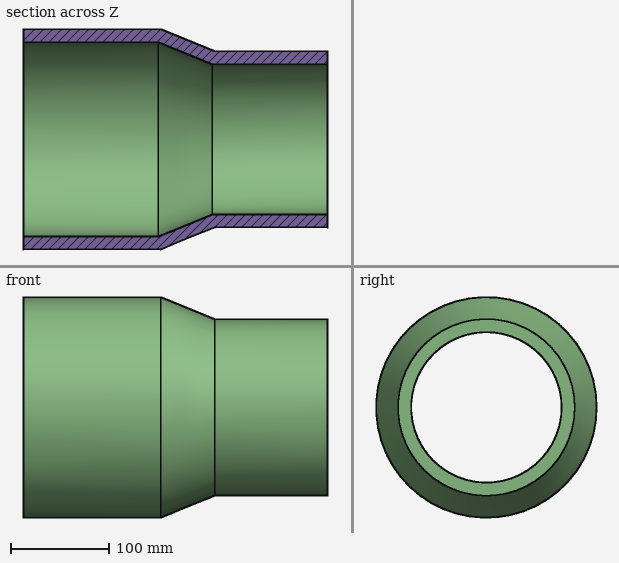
import math

import cadquery as cq

total_length = 310.0
large_length = 140.0
small_length = 115.0
large_outer_diameter = 225.0
small_outer_diameter = 180.0
large_bore_diameter = 198.0

wall = (large_outer_diameter - large_bore_diameter) / 2
small_bore_diameter = small_outer_diameter - 2 * wall

cone_length = total_length - large_length - small_length
cone_angle = math.atan2((large_outer_diameter - small_outer_diameter) / 2, cone_length)
bore_cone_shift = wall * math.tan(cone_angle / 2)


def reducer_solid(large_diameter, small_diameter, cone_start):
    """Solid of revolution: large cylinder, cone, small cylinder."""
    large_radius = large_diameter / 2
    small_radius = small_diameter / 2
    return (
        cq.Workplane("XY")
        .moveTo(0, 0)
        .lineTo(0, large_radius)
        .lineTo(cone_start, large_radius)
        .lineTo(cone_start + cone_length, small_radius)
        .lineTo(total_length, small_radius)
        .lineTo(total_length, 0)
        .close()
        .revolve(360, (0, 0, 0), (1, 0, 0))
    )


outer_body = reducer_solid(large_outer_diameter, small_outer_diameter, large_length)
bore = reducer_solid(large_bore_diameter, small_bore_diameter, large_length - bore_cone_shift)

result = outer_body.cut(bore)